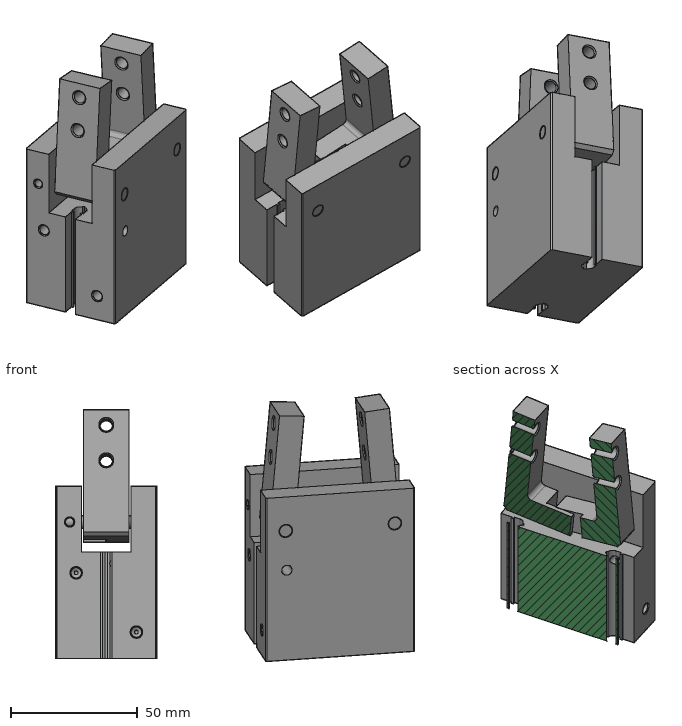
import cadquery as cq
import math

width = 40.0
depth = 60.0
height = 68.1
corner_chamfer = 0.5
jaw_slot_width = 19.4
jaw_slot_floor = 42.2

groove_width = 4.4
groove_depth = 5.0
neck_width = 3.1
cavity_width = 5.1
cavity_start = 6.0
cavity_round_center = 8.4
slit_width = 1.0
slit_end = 11.4

side_hole_diameter = 4.1
side_hole_depth_from_front = 8.5
side_hole_z = 37.5

pin_diameter = 5.0
pin_y = 22.0
pin_z = 53.95
pin_hole_chamfer = 0.2

screw_x = -14.4
screw_diameter = 3.2
port_places = [(-11.9, 33.9), (11.9, 10.5)]
port_diameter = 4.1
port_depth = 7.9
passage_diameter = 1.5
passage_depth = 3.9
mouth_chamfer = 0.4
drill_half_angle = 59

finger_tilt = 5
finger_width = 18.0
jaw_thickness = 10.0
pin_to_outer_face = 4.0
overall_height = 98.3
tilt = math.radians(finger_tilt)
jaw_top = (overall_height - pin_z - pin_to_outer_face * math.sin(tilt)) / math.cos(tilt)
arm_top = 4.0
arm_bottom = -5.8
heel_chamfer = 1.6
arm_fillet = 2.0
short_arm_end = 13.7
long_arm_end = 26.0
arm_gap = 0.3
jaw_hole_diameter = 4.9
jaw_hole_chamfer = 0.5
jaw_hole_top_offset = 6.0
jaw_hole_spacing = 14.1


def vertical_slot(slot_width, start, end):
    """Full-height slot cutter centred on X, running inward from a face at Y = 0."""
    return cq.Workplane("XY").box(
        slot_width, end - start, height, centered=(True, False, False)
    ).translate((0, start, 0))


def make_groove():
    """Groove cutter: wide mouth, narrow neck, round-ended cavity and a thin slit behind it."""
    round_end = (
        cq.Workplane("XY").center(0, cavity_round_center).circle(cavity_width / 2).extrude(height)
    )
    return (
        vertical_slot(groove_width, 0, groove_depth)
        .union(vertical_slot(neck_width, 0, cavity_round_center))
        .union(vertical_slot(cavity_width, cavity_start, cavity_round_center))
        .union(round_end)
        .union(vertical_slot(slit_width, cavity_round_center, slit_end))
        .translate((0, -depth / 2, 0))
    )


def make_side_hole():
    """Hole cutter from the middle of the front groove out through the +X face."""
    return (
        cq.Workplane("YZ")
        .center(side_hole_depth_from_front - depth / 2, side_hole_z)
        .circle(side_hole_diameter / 2)
        .extrude(width / 2)
    )


def spin_about_y(profile):
    """Solid of revolution about the Y axis from (radius, Y) points."""
    return cq.Workplane("XY").polyline(profile).close().revolve(360, (0, 0, 0), (0, 1, 0))


def drill_tip(diameter):
    return diameter / 2 / math.tan(math.radians(drill_half_angle))


def make_screw_hole():
    """Chamfered hole that ends on the axis of the front pin."""
    radius = screw_diameter / 2
    end = depth / 2 - pin_y
    profile = [
        (0, 0),
        (radius + mouth_chamfer, 0),
        (radius, mouth_chamfer),
        (radius, end),
        (0, end),
    ]
    return spin_about_y(profile).translate((screw_x, -depth / 2, pin_z))


def make_port():
    """Chamfered blind port with a drilled cone, leading into a small passage."""
    radius = port_diameter / 2
    passage_radius = passage_diameter / 2
    cone_end = port_depth + drill_tip(port_diameter) - drill_tip(passage_diameter)
    passage_end = cone_end + passage_depth
    profile = [
        (0, 0),
        (radius + mouth_chamfer, 0),
        (radius, mouth_chamfer),
        (radius, port_depth),
        (passage_radius, cone_end),
        (passage_radius, passage_end),
        (0, passage_end + drill_tip(passage_diameter)),
    ]
    return spin_about_y(profile).translate((0, -depth / 2, 0))


def make_pin(y):
    """Pin across the full housing width, parallel to X."""
    return (
        cq.Workplane("YZ", origin=(-width / 2, 0, 0))
        .center(y, pin_z)
        .circle(pin_diameter / 2)
        .extrude(width)
    )


def make_pin_hole(y):
    """Pin-sized hole cutter with a small countersink at each outer side face."""
    hole = make_pin(y)
    mouth = cq.Solid.makeCone(
        pin_diameter / 2 + pin_hole_chamfer,
        pin_diameter / 2,
        pin_hole_chamfer,
        pnt=cq.Vector(-width / 2, y, pin_z),
        dir=cq.Vector(1, 0, 0),
    )
    countersink = cq.Workplane(obj=mouth)
    return hole.union(countersink).union(countersink.mirror("YZ"))


def make_housing():
    """Block with the jaw slot, both grooves and every hole cut away."""
    body = (
        cq.Workplane("XY")
        .box(width, depth, height, centered=(True, True, False))
        .edges("|Z")
        .chamfer(corner_chamfer)
    )
    jaw_slot = cq.Workplane("XY", origin=(0, 0, jaw_slot_floor)).box(
        jaw_slot_width, depth, height, centered=(True, True, False)
    )
    body = body.cut(jaw_slot)
    front_groove = make_groove()
    back_groove = front_groove.rotate((0, 0, 0), (0, 0, 1), 180)
    body = body.cut(front_groove).cut(back_groove)
    body = body.cut(make_side_hole())
    for y in (-pin_y, pin_y):
        body = body.cut(make_pin_hole(y))
    body = body.cut(make_screw_hole())
    for x, z in port_places:
        body = body.cut(make_port().translate((x, 0, z)))
    return body


def make_jaw_hole():
    """Through-hole cutter, chamfered at both faces of the jaw."""
    radius = jaw_hole_diameter / 2
    mouth_radius = radius + jaw_hole_chamfer
    profile = [
        (0, 0),
        (mouth_radius, 0),
        (radius, jaw_hole_chamfer),
        (radius, jaw_thickness - jaw_hole_chamfer),
        (mouth_radius, jaw_thickness),
        (0, jaw_thickness),
    ]
    return spin_about_y(profile)


def make_finger():
    """Front finger: drilled jaw, stepped arm and pivot pin in one solid, tilted toward the middle."""
    outer = -pin_to_outer_face
    inner = outer + jaw_thickness
    jaw_and_arm = (
        cq.Workplane("YZ", origin=(-finger_width / 2, 0, 0))
        .moveTo(outer, jaw_top)
        .lineTo(outer, arm_bottom + heel_chamfer)
        .lineTo(outer + heel_chamfer, arm_bottom)
        .lineTo(long_arm_end, arm_bottom)
        .lineTo(long_arm_end, arm_top)
        .lineTo(inner + arm_fillet, arm_top)
        .radiusArc((inner, arm_top + arm_fillet), arm_fillet)
        .lineTo(inner, jaw_top)
        .close()
        .extrude(finger_width)
    )
    notch = cq.Workplane("XY").box(
        finger_width, long_arm_end, jaw_top, centered=(False, False, True)
    ).translate((arm_gap / 2 - finger_width, short_arm_end, 0))
    finger = jaw_and_arm.cut(notch)

    jaw_hole = make_jaw_hole().translate((0, outer, jaw_top - jaw_hole_top_offset))
    for drop in (0, jaw_hole_spacing):
        finger = finger.cut(jaw_hole.translate((0, 0, -drop)))

    finger = finger.rotate((0, 0, 0), (1, 0, 0), -finger_tilt).translate((0, -pin_y, pin_z))
    return finger.union(make_pin(-pin_y))


housing = make_housing()
fingers = [make_finger().rotate((0, 0, 0), (0, 0, 1), turn) for turn in (0, 180)]
result = cq.Compound.makeCompound([housing.val(), *[f.val() for f in fingers]])